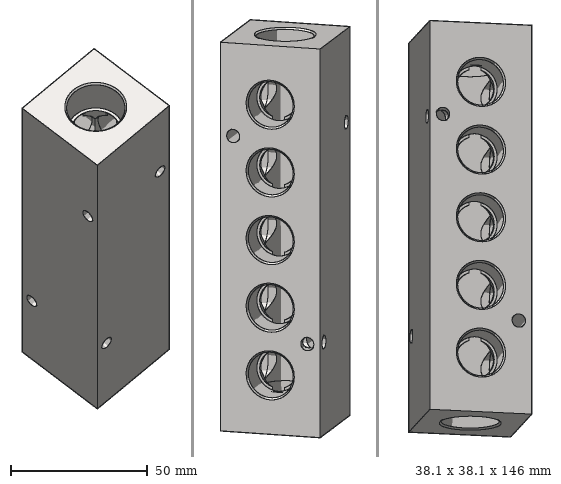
import cadquery as cq

length = 146
width = 38.1

gallery_dia = 18.0

port_taper = 1 / 16

end_port_dia = 21.3
end_port_mouth_dia = 22.6
end_port_depth = 13.9

outlet_count = 5
outlet_pitch = 25.4
outlet_dia = 17.1
outlet_mouth_dia = 18.4
outlet_depth = 10.4
outlet_drill_dia = 14.3

mount_dia = 5.0
mount_offset = 14.2
mount_height = 1.5 * outlet_pitch


def tapered_port(dia, mouth_dia, depth):
    """Flat-bottomed tapered port below Z = 0, with a 45 degree countersink at its mouth."""
    radius = dia / 2
    mouth_radius = mouth_dia / 2
    bottom_radius = radius - depth * port_taper / 2
    countersink = mouth_radius - radius
    profile = [(0, 0), (mouth_radius, 0), (radius, -countersink), (bottom_radius, -depth), (0, -depth)]
    return cq.Workplane("XZ").polyline(profile).close().revolve(360, (0, 0, 0), (0, 1, 0))


def outlet_row():
    """Cutters for the row of outlets on the -X face, reaching in to the gallery axis."""
    port = tapered_port(outlet_dia, outlet_mouth_dia, outlet_depth)
    drill = cq.Workplane("XY").circle(outlet_drill_dia / 2).extrude(-width / 2)
    outlet = port.union(drill).rotate((0, 0, 0), (0, 1, 0), -90).translate((-width / 2, 0, 0))
    row = cq.Workplane("XY")
    for index in range(outlet_count):
        height = (index - (outlet_count - 1) / 2) * outlet_pitch
        row = row.add(outlet.translate((0, 0, height)))
    return row.combine()


result = cq.Workplane("XY").box(width, width, length)

gallery = cq.Workplane("XY").circle(gallery_dia / 2).extrude(length / 2, both=True)
end_port = tapered_port(end_port_dia, end_port_mouth_dia, end_port_depth).translate((0, 0, length / 2))
result = result.cut(gallery).cut(end_port).cut(end_port.mirror("XY"))

outlets = outlet_row()
result = result.cut(outlets).cut(outlets.rotate((0, 0, 0), (0, 0, 1), -90))

for side in (1, -1):
    offset = side * mount_offset
    height = side * mount_height
    for plane in ("YZ", "XZ"):
        hole = cq.Workplane(plane).center(offset, height).circle(mount_dia / 2).extrude(width, both=True)
        result = result.cut(hole)